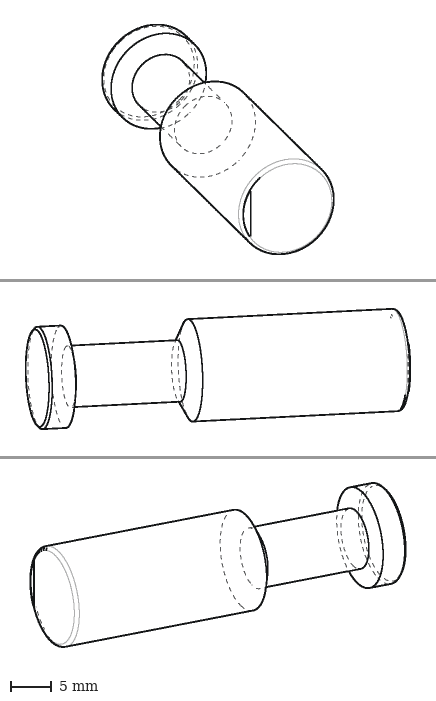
import cadquery as cq

length = 46.0
outer_radius = 6.35
neck_radius = 3.8

head_rim_end = 3.3
neck_start = 4.0
neck_end = 18.0
body_start = 19.45

head_chamfer = 0.3
body_fillet = 0.45

pad_height = 0.1
pad_inner_edge = 4.88
pad_width = 5.9
body_end = length - pad_height
pad_outer_radius = outer_radius - body_fillet

profile = (
    cq.Workplane("XY")
    .moveTo(0, 0)
    .lineTo(0, outer_radius - head_chamfer)
    .lineTo(head_chamfer, outer_radius)
    .lineTo(head_rim_end, outer_radius)
    .lineTo(neck_start, neck_radius)
    .lineTo(neck_end, neck_radius)
    .lineTo(body_start, outer_radius)
    .lineTo(body_end - body_fillet, outer_radius)
    .tangentArcPoint((body_end, outer_radius - body_fillet), relative=False)
    .lineTo(body_end, 0)
    .close()
)
pin = profile.revolve(360, (0, 0, 0), (1, 0, 0))

pad_sink = 0.25
pad_base = body_end - pad_sink
pad_thickness = pad_height + pad_sink
end_disc = (
    cq.Workplane("YZ", origin=(pad_base, 0, 0))
    .circle(pad_outer_radius)
    .extrude(pad_thickness)
)
pad_block = (
    cq.Workplane("YZ", origin=(pad_base, -(pad_inner_edge + outer_radius) / 2, 0))
    .rect(outer_radius - pad_inner_edge, pad_width)
    .extrude(pad_thickness)
)

result = pin.union(end_disc.intersect(pad_block))